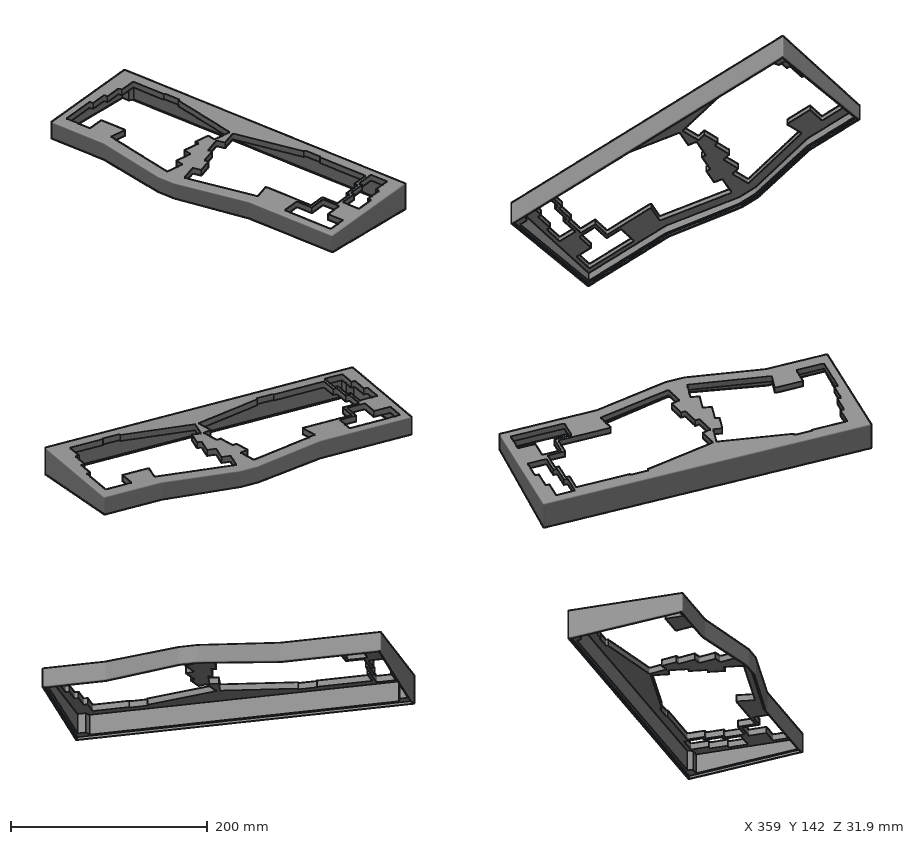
import cadquery as cq
import math

total_length = 359.0
total_depth = 142.0
left_end = -159.75
right_end = left_end + total_length
split_angle = 12.0
nose_half_width = 10.25
bend_half_width = 92.5
nose_drop = (bend_half_width - nose_half_width) * math.tan(math.radians(split_angle))
side_depth = total_depth - nose_drop
bottom_tilt = 5.0
edge_radius = 1.5
finished_height = 31.86
tilt_angle = math.radians(bottom_tilt)
block_height = finished_height + edge_radius * (math.tan(tilt_angle) + 1 / math.cos(tilt_angle) - 1)

plate_thickness = 7.0
rim_width = 2.0
recess_depth = 3.0
cavity_wall = 4.5
post_width = 8.8
post_depth = 5.5
post_taper = 2.3

key_pitch = 19.05
quarter_key = key_pitch / 4
key_clearance = 0.75
row_count = 5
fourth_row = row_count - 2
last_row = row_count - 1
navigation_rows = 3
upper_rows = 3
row_stagger = 4.1
keys_back = -(side_depth - row_count * key_pitch) / 2
left_keys_start = -149.6
bottom_left_keys = 1.5 * key_pitch
arrow_right = 189.3
arrow_row_keys = 3
arrow_left = arrow_right - arrow_row_keys * key_pitch
inner_keys_end = 80.6
bottom_block_end = 91.5
raised_key_width = 18.1
raised_key_rise = 1.3

block_corner_x = 2.9
block_corner_y = -31.8
left_block_ends = [0.0, -0.5, -0.25, 0.25, 0.75]
right_block_ends = [0.0, 0.5, 0.25, 0.0, 0.5]
block_start = -4.25
bottom_block_start = -3.75


def body_outline(inset):
    """Plan outline of the case, moved inward by inset."""
    slope_shift = inset * math.tan(math.radians(split_angle / 2))
    front = -side_depth + inset
    nose = -total_depth + inset
    bend = bend_half_width + slope_shift
    tip = nose_half_width + slope_shift
    return [
        (left_end + inset, -inset),
        (right_end - inset, -inset),
        (right_end - inset, front),
        (bend, front),
        (tip, nose),
        (-tip, nose),
        (-bend, front),
        (left_end + inset, front),
    ]


def tilt_to_bottom(shape):
    """Turn a shape about the lowest back edge so that its XY plane becomes the bottom plane."""
    return shape.rotate((0, 0, 0), (1, 0, 0), -bottom_tilt)


def prism(points, height):
    return cq.Workplane("XY").polyline(points).close().extrude(height)


def make_body():
    """Wedge-shaped block with every outer edge rounded except the upright edges of the front bends."""
    below = cq.Workplane("XY").rect(2 * total_length, 2 * total_length).extrude(-block_height)
    below = tilt_to_bottom(below)
    body = prism(body_outline(0), block_height).cut(below)
    corner_edges = body.faces("<X or >X").edges("|Z")
    return body.faces(">Z or <Z").edges().add(corner_edges).fillet(edge_radius)


def make_cavity():
    """Hollow under the plate, leaving a tapered post in each back corner."""
    cavity = prism(body_outline(cavity_wall), block_height - plate_thickness)
    back = -cavity_wall
    for end, inward in ((left_end, 1), (right_end, -1)):
        side = end + inward * cavity_wall
        post_side = side + inward * post_width
        post = prism(
            [
                (side, back),
                (post_side + inward * post_taper, back),
                (post_side, back - post_depth),
                (side, back - post_depth),
            ],
            block_height,
        )
        cavity = cavity.cut(post)
    return cavity


def make_recess():
    """Seat for a bottom cover, square to the tilted bottom plane."""
    stretch = 1 / math.cos(tilt_angle)
    points = [(x, y * stretch) for x, y in body_outline(rim_width)]
    recess = prism(points, recess_depth + block_height).translate((0, 0, -block_height))
    return tilt_to_bottom(recess)


def key_row(left, right, back):
    """Block covering the keys of one row, back edge at the given Y."""
    front = back - key_pitch
    return prism([(left, back), (right, back), (right, front), (left, front)], block_height)


def row_back(row):
    """Y of the back edge of a straight key row, counted from 0 at the back."""
    return keys_back - row * key_pitch


def rotated_block(row_ends):
    """Key rows turned by the split angle, for the half on the -X side."""
    block = cq.Workplane("XY")
    for row, end in enumerate(row_ends):
        start = bottom_block_start if row == last_row else block_start
        block = block.union(key_row(start * key_pitch, end * key_pitch, -row * key_pitch))
    block = block.rotate((0, 0, 0), (0, 0, 1), -split_angle)
    return block.translate((-block_corner_x, block_corner_y, 0))


def raised_key():
    """First-row key of the -X half that sits slightly further back than its row."""
    left = -inner_keys_end - raised_key_width
    return key_row(left, -inner_keys_end, keys_back + raised_key_rise)


def mirrored(shape):
    return shape.mirror("YZ")


def left_keys():
    keys = rotated_block(left_block_ends).union(raised_key())
    for row in range(row_count):
        left = left_keys_start + max(0, fourth_row - row) * row_stagger
        right = -inner_keys_end
        if row == fourth_row:
            right = -bottom_block_end
        if row == last_row:
            right = left_keys_start + bottom_left_keys
        keys = keys.union(key_row(left, right, row_back(row)))
    return keys


def right_keys():
    keys = mirrored(rotated_block(right_block_ends).union(raised_key()))
    third_row_end = arrow_right - key_pitch - quarter_key
    fourth_row_end = third_row_end - key_pitch
    for row in range(upper_rows):
        right = third_row_end - (upper_rows - 1 - row) * row_stagger
        keys = keys.union(key_row(inner_keys_end, right, row_back(row)))
    return keys.union(key_row(bottom_block_end, fourth_row_end, row_back(fourth_row)))


def navigation_keys():
    keys = cq.Workplane("XY")
    for row in range(navigation_rows):
        right = arrow_right - (navigation_rows - 1 - row) * row_stagger
        keys = keys.union(key_row(right - key_pitch, right, row_back(row) + quarter_key))
    return keys


def arrow_keys():
    up_key = key_row(arrow_left + key_pitch, arrow_right - key_pitch, row_back(fourth_row) - quarter_key)
    return up_key.union(key_row(arrow_left, arrow_right, row_back(last_row) - quarter_key))


def opening(keys):
    """Through cutter around a group of keys: clearance all round, rounded outer corners."""
    outline = keys.clean().faces("<Z").wires().vals()
    cutter = cq.Workplane("XY").add(outline).toPending().offset2D(key_clearance, "arc")
    return cutter.extrude(block_height)


result = make_body().cut(make_cavity()).cut(make_recess())
for key_group in (left_keys(), right_keys(), navigation_keys(), arrow_keys()):
    result = result.cut(opening(key_group))